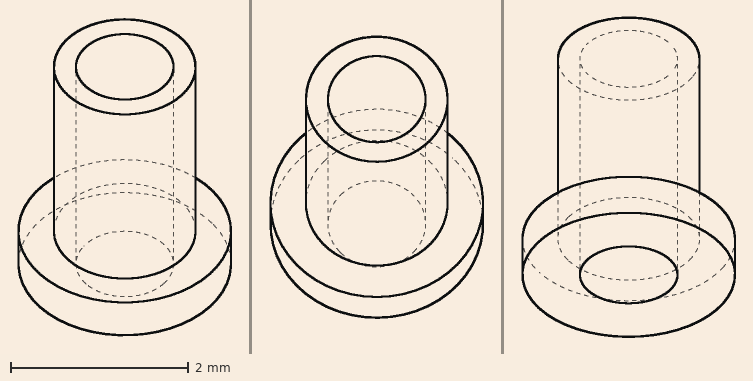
import cadquery as cq

total_height = 3.0
flange_diameter = 2.4
sleeve_diameter = 1.6
bore_diameter = 1.1
flange_thickness = 0.5

flange = cq.Workplane("XY").circle(flange_diameter / 2).extrude(flange_thickness)
sleeve = cq.Workplane("XY").circle(sleeve_diameter / 2).extrude(total_height)
bore = cq.Workplane("XY").circle(bore_diameter / 2).extrude(total_height)

result = flange.union(sleeve).cut(bore)